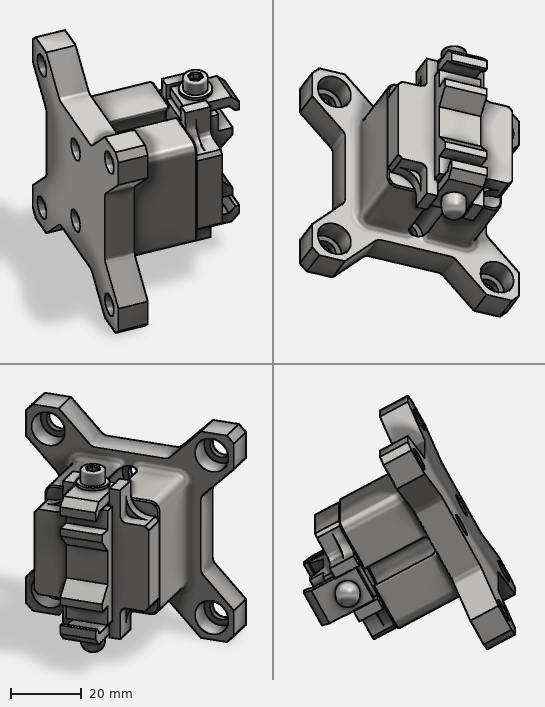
import cadquery as cq
import math


plate_size = 63.5
plate_thickness = 9.0
waist_size = 43.3
arm_edge = 10.05
arm_corner_chamfer = 2.15
arm_root_radius = 2.55
hole_diameter = 6.6
counterbore_diameter = 10.15
counterbore_floor = 2.2
corner_hole_offset = 24.95
block_size = 34.9
block_end = 30.0
block_corner_radius = 3.0
root_radius = 2.2
block_end_chamfer = 0.45
lip_radius = 0.5

carrier_end = 37.65
carrier_neck_width = 17.5
carrier_length = 45.8
carrier_arm_height = 26.15
carrier_arm_chamfer = 1.15
neck_fillet_radius = 2.05
web_radius = 6.3
web_end = 33.2
rail_width = 12.75
rail_length = 35.2
rail_end = 41.0
tooth_end = 45.4
tooth_outer = 11.8
tooth_tip = 2.35
slot_floor = 18.0

jaw_width = 10.8
jaw_thickness = 3.2
jaw_outer = 21.9
jaw_start = 31.1
jaw_end = 47.8
jaw_bevel = 2.4
hook_drop = 1.9
hook_tip_width = 1.2

bolt_y = 36.65
shank_diameter = 4.0
head_diameter = 7.05
head_height = 4.05
head_chamfer = 0.45
socket_width = 3.05
socket_bevel = 0.4
socket_depth = 2.05
washer_diameter = 9.45
washer_thickness = 0.8
washer_bottom = 23.0
nut_cylinder_height = 3.0

half_plate = plate_size / 2
half_waist = waist_size / 2
half_block = block_size / 2
half_neck = carrier_neck_width / 2
half_length = carrier_length / 2
centre_hole_offset = corner_hole_offset / 2
half_arm = carrier_arm_height / 2
jaw_inner = jaw_outer - jaw_thickness
washer_top = washer_bottom + washer_thickness
nut_bottom = -jaw_outer - nut_cylinder_height


margin = 0.05


def xz_plane(y):
    """Sketch plane parallel to XZ at depth y, with its normal toward +Y and local axes (x, -z)."""
    return cq.Workplane(cq.Plane(origin=(0, y, 0), xDir=(1, 0, 0), normal=(0, 1, 0)))


def xy_plane(z):
    """Horizontal sketch plane at height z, centred on the bolt axis."""
    return cq.Workplane("XY", origin=(0, bolt_y, z))


def bolt_bore():
    """Full-length cylinder of the shank diameter on the bolt axis."""
    return xy_plane(-half_plate).circle(shank_diameter / 2).extrude(plate_size)


def mirrored_end(solid):
    """Copy of an upper-end solid turned over to the lower end."""
    return solid.mirror("XY")


def box_around(x_range, y_range, z_range):
    """Selector for everything centred within the given ranges, widened by the margin."""
    ranges = (x_range, y_range, z_range)
    low = tuple(min(limits) - margin for limits in ranges)
    high = tuple(max(limits) + margin for limits in ranges)
    return cq.selectors.BoxSelector(low, high)


def make_plate():
    """Square plate with bevelled corners and a trapezoidal notch in the middle of each side."""
    mouth = half_plate - arm_edge
    root = mouth - (half_plate - half_waist)
    plate = xz_plane(0).rect(plate_size, plate_size).extrude(plate_thickness)
    plate = plate.edges("|Y").chamfer(arm_corner_chamfer)
    notch = (
        xz_plane(0)
        .polyline([(-mouth, half_plate), (-root, half_waist), (root, half_waist), (mouth, half_plate)])
        .close()
        .extrude(plate_thickness)
    )
    root_corners = box_around((-root, root), (0, plate_thickness), (-half_waist, -half_waist))
    notch = notch.edges("|Y").edges(root_corners).fillet(arm_root_radius)
    for angle in (0, 90, 180, 270):
        plate = plate.cut(notch.rotate((0, 0, 0), (0, 1, 0), angle))
    return plate


def bores(diameter, start, end):
    """Cutters at all six mounting holes between two depths."""
    spots = [(0, side * centre_hole_offset) for side in (-1, 1)]
    spots += [(i * corner_hole_offset, j * corner_hole_offset) for i in (-1, 1) for j in (-1, 1)]
    return xz_plane(start).pushPoints(spots).circle(diameter / 2).extrude(end - start)


def make_base():
    """Plate and block in one piece, with a flared root and counterbored mounting holes."""
    block_length = block_end - plate_thickness
    block = xz_plane(plate_thickness).rect(block_size, block_size).extrude(block_length)
    block = block.edges("|Y").fillet(block_corner_radius)
    block = block.cut(bores(counterbore_diameter, plate_thickness, block_end))
    bore_radius = counterbore_diameter / 2
    for face_z in (-half_block, half_block):
        lips = box_around((-bore_radius, bore_radius), (plate_thickness, block_end), (face_z, face_z))
        block = block.edges("|Y").edges(lips).fillet(lip_radius)
    base = make_plate().union(block)
    block_span = (-half_block, half_block)
    root_edges = box_around(block_span, (plate_thickness, plate_thickness), block_span)
    base = base.edges(root_edges).fillet(root_radius)
    base = base.faces(">Y").chamfer(block_end_chamfer)
    base = base.cut(bores(hole_diameter, 0, plate_thickness))
    return base.cut(bores(counterbore_diameter, counterbore_floor, block_end))


def make_cross(start, end, inner_radius):
    """Cross-shaped slab between two depths, with rounded inner corners between neck and arms."""
    thickness = end - start
    arms = xz_plane(start).rect(block_size, carrier_arm_height).extrude(thickness)
    arms = arms.edges("|Y").chamfer(carrier_arm_chamfer)
    neck = xz_plane(start).rect(carrier_neck_width, carrier_length).extrude(thickness)
    inner_corners = box_around((-half_neck, half_neck), (start, end), (-half_arm, half_arm))
    return arms.union(neck).edges("|Y").edges(inner_corners).fillet(inner_radius)


def make_rail():
    """Rail strip with two undercut teeth that face each other across the middle."""
    tooth_inner = tooth_outer - tooth_tip - (tooth_end - rail_end)
    half_profile = [
        (carrier_end, rail_length / 2),
        (rail_end, rail_length / 2),
        (rail_end, tooth_outer),
        (tooth_end, tooth_outer),
        (tooth_end, tooth_outer - tooth_tip),
        (rail_end, tooth_inner),
    ]
    lower_half = [(y, -z) for y, z in reversed(half_profile)]
    return (
        cq.Workplane("YZ")
        .polyline(half_profile + lower_half)
        .close()
        .extrude(rail_width / 2, both=True)
    )


def make_carrier():
    """Cross-shaped slab in two steps with its rail, a jaw slot at each end and the bolt bore."""
    carrier = make_cross(block_end, web_end, web_radius)
    carrier = carrier.union(make_cross(web_end, carrier_end, neck_fillet_radius))
    carrier = carrier.union(make_rail())
    slot_height = half_length - slot_floor
    slot = xz_plane(block_end).center(0, -slot_floor - slot_height / 2)
    slot = slot.rect(jaw_width, slot_height).extrude(carrier_end - block_end)
    return carrier.cut(slot).cut(mirrored_end(slot)).cut(bolt_bore())


def make_jaw():
    """Upper jaw: a bar with a bevelled, hooked outer end."""
    hook_bottom = jaw_inner - hook_drop
    hook_tip = jaw_end - hook_tip_width
    jaw = (
        cq.Workplane("YZ")
        .polyline([
            (jaw_start, jaw_inner),
            (jaw_start, jaw_outer),
            (jaw_end - jaw_bevel, jaw_outer),
            (jaw_end, jaw_outer - jaw_bevel),
            (jaw_end, hook_bottom),
            (hook_tip, hook_bottom),
            (hook_tip - hook_drop, jaw_inner),
        ])
        .close()
        .extrude(jaw_width / 2, both=True)
    )
    return jaw.cut(bolt_bore())


def make_washer():
    """Plain washer under the screw head."""
    washer = xy_plane(washer_bottom).circle(washer_diameter / 2).circle(shank_diameter / 2)
    return washer.extrude(washer_thickness)


def hexagon(plane, across_flats):
    """Hexagon sketch with two corners on the X axis."""
    return plane.polygon(6, across_flats / math.cos(math.pi / 6))


def make_screw():
    """Socket-head screw whose shank ends flush with the start of the nut's dome."""
    head_top = washer_top + head_height
    head = xy_plane(washer_top).circle(head_diameter / 2).extrude(head_height)
    head = head.faces(">Z").edges().fillet(head_chamfer)
    socket = hexagon(xy_plane(head_top), socket_width).extrude(-socket_depth)
    bevel_mouth = hexagon(xy_plane(head_top), socket_width + 2 * socket_bevel)
    bevel = hexagon(bevel_mouth.workplane(offset=-socket_bevel), socket_width).loft(combine=True)
    shank = xy_plane(nut_bottom).circle(shank_diameter / 2).extrude(washer_top - nut_bottom)
    return head.cut(socket).cut(bevel).union(shank)


def make_nut():
    """Domed nut: a plain cylinder closed by a hemisphere, with a bore for the shank."""
    radius = head_diameter / 2
    half_profile = (
        cq.Workplane("XZ", origin=(0, bolt_y, 0))
        .moveTo(0, -jaw_outer)
        .lineTo(radius, -jaw_outer)
        .lineTo(radius, nut_bottom)
        .radiusArc((0, nut_bottom - radius), radius)
        .close()
    )
    nut = half_profile.revolve(360, (0, 0, 0), (0, 1, 0))
    bore = xy_plane(nut_bottom).circle(shank_diameter / 2).extrude(nut_cylinder_height)
    return nut.cut(bore)


base = make_base()
carrier = make_carrier()
upper_jaw = make_jaw()
jaws = [upper_jaw, mirrored_end(upper_jaw)]
washer = make_washer()
screw = make_screw()
nut = make_nut()

result = cq.Compound.makeCompound(
    [base.val(), carrier.val(), *[jaw.val() for jaw in jaws], washer.val(), screw.val(), nut.val()]
)